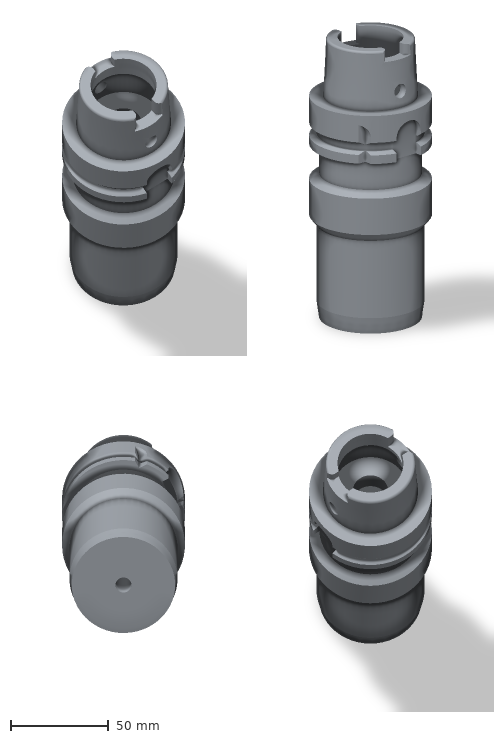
import cadquery as cq
import math

length = 152.0
flange_radius = 31.5

tip_radius = 26.5
tip_height = 8.8
shank_radius = 27.7
shank_top = 50.9
collar_bottom = 55.5
collar_top = 75.2
neck_radius = 26.3
neck_bottom = 78.1

flange_bottom = 94.1
groove_cone_bottom = 98.8
groove_bottom = 100.0
groove_top = 103.8
groove_cone_top = 105.6
groove_radius = 27.7
flange_top = 120.2
groove_lip_step = 2.7
groove_lip_radius = flange_radius - groove_lip_step

taper_base_radius = 24.3
taper_top_radius = taper_base_radius - (length - flange_top) / 20
rim_fillet = 1.4

bore_radius = 16.9
bore_lip_bottom = 139.2
undercut_radius = 19.6
bore_floor = flange_top
counterbore_radius = 9.1
counterbore_depth = 12.2
coolant_radius = 4.1

notch_width = 12.2
notch_floors = {-1: 146.0, 1: 142.3}
notch_fillet = 2.7

cross_hole_radius = 3.8
cross_hole_height = 129.0

keyway_width = 16.1
keyway_top = 115.2
keyway_floor = 26.6

orient_floor = 19.8
orient_inner_y = 20.0
orient_radius = 6.8
orient_top = 115.5


def revolved_body():
    profile = [
        (0, 0),
        (tip_radius, 0),
        (shank_radius, tip_height),
        (shank_radius, shank_top),
        (flange_radius, collar_bottom),
        (flange_radius, collar_top),
        (neck_radius, neck_bottom),
        (neck_radius, flange_bottom),
        (flange_radius, flange_bottom),
        (flange_radius, groove_cone_bottom),
        (groove_lip_radius, groove_bottom),
        (groove_radius, groove_bottom),
        (groove_radius, groove_top),
        (groove_lip_radius, groove_top),
        (flange_radius, groove_cone_top),
        (flange_radius, flange_top),
        (taper_base_radius, flange_top),
        (taper_top_radius, length),
        (0, length),
    ]
    return cq.Workplane("XZ").polyline(profile).close().revolve(360, (0, 0), (0, 1))


def stepped_bore():
    profile = [
        (0, 0),
        (coolant_radius, 0),
        (coolant_radius, bore_floor - counterbore_depth),
        (counterbore_radius, bore_floor - counterbore_depth),
        (counterbore_radius, bore_floor),
        (undercut_radius, bore_floor),
        (undercut_radius, bore_lip_bottom),
        (bore_radius, bore_lip_bottom),
        (bore_radius, length),
        (0, length),
    ]
    return cq.Workplane("XZ").polyline(profile).close().revolve(360, (0, 0), (0, 1))


def drive_notch(side):
    """Notch whose side walls roll outward into the taper surface."""
    floor = notch_floors[side]
    notch = cq.Workplane("XY").box(
        flange_radius, notch_width, length - floor, centered=(False, True, False)
    )
    center_y = notch_width / 2 + notch_fillet
    center_x = math.sqrt((taper_top_radius - notch_fillet) ** 2 - center_y**2)
    for hand in (-1, 1):
        relief = cq.Workplane("XY").box(
            flange_radius - center_x, notch_fillet, length - floor, centered=(False, True, False)
        ).translate((center_x, hand * (notch_width + notch_fillet) / 2, 0))
        rounding = (
            cq.Workplane("XY")
            .center(center_x, hand * center_y)
            .circle(notch_fillet)
            .extrude(length - floor)
        )
        notch = notch.union(relief.cut(rounding))
    if side < 0:
        notch = notch.mirror("YZ")
    return notch.translate((0, 0, floor))


def round_topped_cutter(center_y, radius, top, floor, side):
    """Slot from the flange bottom to a semicircular top, cut inward along X to the floor."""
    arc_height = top - radius
    outline = (
        cq.Workplane("YZ")
        .moveTo(center_y - radius, flange_bottom)
        .lineTo(center_y - radius, arc_height)
        .threePointArc((center_y, top), (center_y + radius, arc_height))
        .lineTo(center_y + radius, flange_bottom)
        .close()
    )
    cutter = outline.extrude(flange_radius).translate((floor, 0, 0))
    return cutter if side > 0 else cutter.mirror("YZ")


body = revolved_body().faces(">Z").edges().fillet(rim_fillet).cut(stepped_bore())

for side in (-1, 1):
    body = body.cut(drive_notch(side))
    body = body.cut(round_topped_cutter(0, keyway_width / 2, keyway_top, keyway_floor, side))

orient_center_y = orient_inner_y + orient_radius
body = body.cut(round_topped_cutter(orient_center_y, orient_radius, orient_top, orient_floor, -1))

cross_hole = (
    cq.Workplane("YZ")
    .center(0, cross_hole_height)
    .circle(cross_hole_radius)
    .extrude(flange_radius, both=True)
)
result = body.cut(cross_hole)